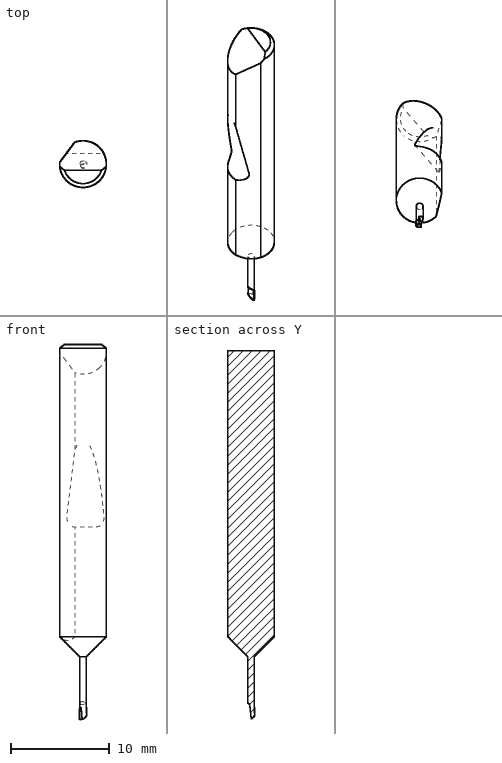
import cadquery as cq
import math

total_length = 38.1
shank_radius = 4.7625 / 2
end_chamfer = 0.4

neck_radius = 0.34
neck_length = 6.4
shank_start = neck_length + shank_radius - neck_radius

flat_distance = 2.01
flat_angle = 143.2

bevel_top_y = -0.62

notch_bottom = 19.6
notch_top = 28.4
notch_slope = 9.3
notch_fillet = 1.0

head_radius = 0.42
head_length = 1.56
head_right_bottom = 0.46
head_heel_x = 0.1
head_heel_z = 0.11
head_point_x = -0.3
head_left_bottom = 0.11

relief_distance = 0.35
relief_angle = 225.0

rake_angle = 20.0
rake_top = 1.6
rake_top_offset = 0.06

clearance = 1.0
reach = shank_radius + clearance


def turned_body():
    """Shank, cone, neck and flared head as one revolved profile."""
    profile = (
        cq.Workplane("XZ")
        .polyline([
            (0, 0),
            (head_radius, 0),
            (neck_radius, head_length),
            (neck_radius, neck_length),
            (shank_radius, shank_start),
            (shank_radius, total_length - end_chamfer),
            (shank_radius - end_chamfer, total_length),
            (0, total_length),
        ])
        .close()
    )
    return profile.revolve(360, (0, 0, 0), (0, 1, 0))


def flat_cutter(distance, angle, height):
    """Block from Z = 0 up to the height that leaves a flat at this distance from the axis."""
    return (
        cq.Workplane("XY")
        .box(clearance, 2 * reach, height, centered=(False, True, False))
        .translate((distance, 0, 0))
        .rotate((0, 0, 0), (0, 0, 1), angle)
    )


def cutter_across_x(points):
    """Prism with the given (y, z) outline, running through the part along X."""
    return cq.Workplane("YZ").polyline(points).close().extrude(reach, both=True)


def top_bevel_cutter():
    """Triangular prism removing the +Y side of the top end."""
    bevel_drop = reach - bevel_top_y
    return cutter_across_x([
        (bevel_top_y, total_length),
        (reach, total_length),
        (reach, total_length - bevel_drop),
    ])


def notch_cutter():
    """Sloping notch with a rounded bottom corner."""
    slope = math.tan(math.radians(notch_slope))
    corner_y = shank_radius - (notch_top - notch_bottom) * slope
    outer_z = notch_top + clearance / slope
    cutter = cutter_across_x([
        (corner_y, notch_bottom),
        (reach, notch_bottom),
        (reach, outer_z),
    ])
    corner = cq.selectors.NearestToPointSelector((0, corner_y, notch_bottom))
    return cutter.edges("|X").edges(corner).fillet(notch_fillet)


def tip_cutter():
    """Prism along Y below the tip: a long bevel on the right, a point near the left edge."""
    return (
        cq.Workplane("XZ")
        .polyline([
            (-head_radius, head_left_bottom),
            (head_point_x, 0),
            (head_heel_x, head_heel_z),
            (head_radius, head_right_bottom),
            (clearance, head_right_bottom),
            (clearance, -clearance),
            (-clearance, -clearance),
            (-clearance, head_left_bottom),
        ])
        .close()
        .extrude(clearance, both=True)
    )


def rake_cutter():
    """Sloping rake face that runs out of the neck at 45 degrees."""
    runout = clearance - rake_top_offset
    return cutter_across_x([
        (0, 0),
        (rake_top_offset, rake_top),
        (clearance, rake_top + runout),
        (clearance, 0),
    ]).rotate((0, 0, 0), (0, 0, 1), rake_angle)


def build_part():
    """Turned body with its flats, bevel, notch and ground cutting tip."""
    body = turned_body()
    body = body.cut(flat_cutter(flat_distance, flat_angle, total_length))
    body = body.cut(top_bevel_cutter())
    body = body.cut(notch_cutter())
    body = body.cut(tip_cutter())
    body = body.cut(flat_cutter(relief_distance, relief_angle, head_length))
    return body.cut(rake_cutter())


result = build_part()